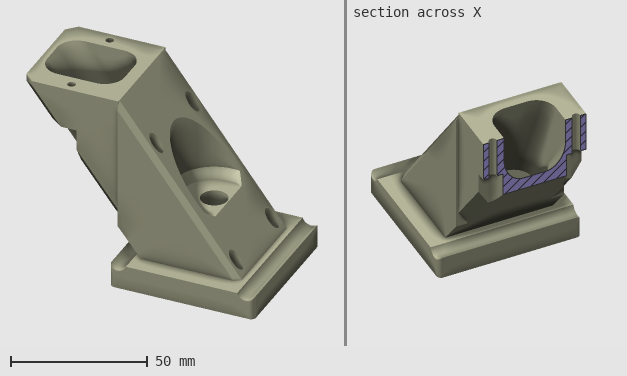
import cadquery as cq

base_side = 58.0
base_height = 10.0
base_corner_radius = 1.9
groove_radius = 3.7
groove_offset = 25.8
groove_axis_height = base_height + 1.2

total_height = 74.5
head_front_x = -67.7
neck_start_x = -base_side / 2
neck_toe_x = 20.1
neck_heel_x = -19.5
neck_width = 43.7
neck_chamfer = 1.9
head_width = 41.8
head_chamfer = 3.9
head_lip = 2.9
kink_x = -33.5
kink_z = 27.5
underside_slope = (kink_z - base_height) / (neck_heel_x - kink_x)
neck_start_z = base_height + underside_slope * (neck_heel_x - neck_start_x)

bore_radius = 16.2
bore_floor_radius = 13.0
bore_floor_z = 28.9
bore_cone_height = 3.5
center_hole_diameter = 10.5

base_hole_diameter = 5.2
base_hole_spacing = 31.9
head_hole_diameter = 3.2
head_hole_x = -49.6
head_hole_y = 16.9

pocket_ceiling_z = 57.9
pocket_radius = 3.9

duct_center_x = -49.5
duct_length = 31.1
duct_width = 24.9
duct_corner_radius = 7.9
duct_end_x = -23.4
duct_end_z = bore_floor_z
duct_end_length = 16.4
duct_end_width = 24.2
duct_end_corner_radius = 7.5


def side_profile(points, width):
    """Extrude an XZ outline symmetrically about the XZ plane."""
    return cq.Workplane("XZ").polyline(points).close().extrude(width / 2, both=True)


def make_base():
    base = cq.Workplane("XY").box(base_side, base_side, base_height, centered=(True, True, False))
    base = base.edges("|Z").fillet(base_corner_radius)
    grooves = (
        cq.Workplane("XZ")
        .pushPoints([(-groove_offset, groove_axis_height), (groove_offset, groove_axis_height)])
        .circle(groove_radius)
        .extrude(base_side, both=True)
    )
    return base.cut(grooves)


def make_head():
    head = side_profile(
        [
            (head_front_x, total_height),
            (neck_start_x, total_height),
            (neck_start_x, neck_start_z),
            (kink_x, kink_z),
            (head_front_x, total_height - head_lip),
        ],
        head_width,
    )
    lip_edges = head.edges("|Z and <X").vals()
    underside_edges = head.faces("|Y").edges("not(|X or |Z)").vals()
    return head.newObject(lip_edges + underside_edges).chamfer(head_chamfer)


def make_neck():
    neck = side_profile(
        [
            (neck_start_x, total_height),
            (neck_toe_x, base_height),
            (neck_heel_x, base_height),
            (neck_start_x, neck_start_z),
        ],
        neck_width,
    )
    slope = neck.faces("not(|X or |Y or |Z)").faces(">X")
    return slope.edges("not |Y").chamfer(neck_chamfer)


def make_bore():
    """Vertical bore with a conical transition to its flat floor."""
    shoulder_z = bore_floor_z + bore_cone_height
    return (
        cq.Workplane("XZ")
        .moveTo(0, bore_floor_z)
        .lineTo(bore_floor_radius, bore_floor_z)
        .lineTo(bore_radius, shoulder_z)
        .lineTo(bore_radius, total_height)
        .lineTo(0, total_height)
        .close()
        .revolve(360, (0, 0), (0, 1))
    )


def make_duct():
    """Tapered duct from the rounded head opening to the bore."""
    mouth = cq.Sketch().rect(duct_length, duct_width).vertices().fillet(duct_corner_radius)
    outlet = cq.Sketch().rect(duct_end_length, duct_end_width).vertices().fillet(duct_end_corner_radius)
    return (
        cq.Workplane("XY")
        .placeSketch(
            mouth.moved(cq.Location(cq.Vector(duct_center_x, 0, total_height))),
            outlet.moved(cq.Location(cq.Vector(duct_end_x, 0, duct_end_z))),
        )
        .loft(ruled=True)
    )


def make_pocket():
    """Pocket open to the +Y side and the underside, with one rounded inner corner."""
    depth_x = head_hole_x - head_front_x + pocket_radius
    depth_y = head_width / 2 - head_hole_y + pocket_radius
    pocket = cq.Workplane("XY").box(depth_x, depth_y, pocket_ceiling_z, centered=False)
    pocket = pocket.edges("|Z and >X and <Y").fillet(pocket_radius)
    return pocket.translate((head_front_x, head_hole_y - pocket_radius, 0))


def vertical_holes(points, diameter):
    return cq.Workplane("XY").pushPoints(points).circle(diameter / 2).extrude(total_height)


base_hole_points = [
    (x, y)
    for x in (-base_hole_spacing / 2, base_hole_spacing / 2)
    for y in (-base_hole_spacing / 2, base_hole_spacing / 2)
]
head_hole_points = [(head_hole_x, -head_hole_y), (head_hole_x, head_hole_y)]
pocket = make_pocket()

result = make_base().union(make_neck()).union(make_head())
result = result.cut(make_bore()).cut(make_duct())
result = result.cut(pocket).cut(pocket.mirror("XZ"))
result = result.cut(vertical_holes(base_hole_points, base_hole_diameter))
result = result.cut(vertical_holes(head_hole_points, head_hole_diameter))
result = result.cut(vertical_holes([(0, 0)], center_hole_diameter))